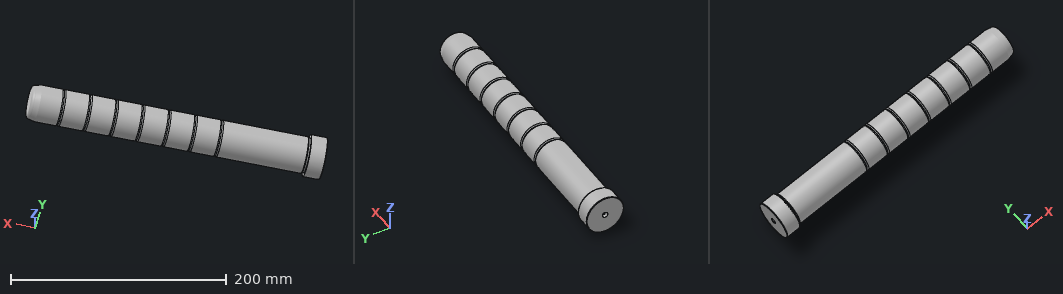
import cadquery as cq
import math

length = 280.0
head_length = 15.5
head_radius = 40.0 / 2
head_chamfer = 0.5
shaft_radius = 35.0 / 2

undercut_depth = 0.8
undercut_end = 18.0
undercut_floor_end = undercut_end - undercut_depth
undercut_radius = shaft_radius - undercut_depth

groove_count = 7
first_groove_x = 100.0
last_groove_x = 250.0
groove_pitch = (last_groove_x - first_groove_x) / (groove_count - 1)
groove_width = 2.8
groove_depth = 0.8

taper_start = 271.5
taper_end = 276.5
taper_end_radius = 16.2
tip_round = length - taper_end
end_face_radius = taper_end_radius - tip_round

countersink_radius = 2.8
countersink_angle = 60
pilot_radius = 1.5
pilot_end = 5.5
drill_point_angle = 120


def cone_depth(radius_change, full_angle):
    """Axial length over which a cone of this full angle changes its radius."""
    return radius_change / math.tan(math.radians(full_angle / 2))


def revolve_about_x(profile):
    return profile.close().revolve(360, (0, 0, 0), (1, 0, 0))


def pin():
    """Head, undercut, grooved shaft and rounded tip as one turned profile."""
    profile = (
        cq.Workplane("XY")
        .lineTo(0, head_radius - head_chamfer)
        .lineTo(head_chamfer, head_radius)
        .lineTo(head_length, head_radius)
        .lineTo(head_length, undercut_radius)
        .lineTo(undercut_floor_end, undercut_radius)
        .lineTo(undercut_end, shaft_radius)
    )
    for index in range(groove_count):
        groove_x = first_groove_x + index * groove_pitch
        profile = (
            profile.lineTo(groove_x - groove_width / 2, shaft_radius)
            .lineTo(groove_x, shaft_radius - groove_depth)
            .lineTo(groove_x + groove_width / 2, shaft_radius)
        )
    arc_offset = tip_round * math.sqrt(0.5)
    arc_middle = (taper_end + arc_offset, end_face_radius + arc_offset)
    profile = (
        profile.lineTo(taper_start, shaft_radius)
        .lineTo(taper_end, taper_end_radius)
        .threePointArc(arc_middle, (length, end_face_radius))
        .lineTo(length, 0)
    )
    return revolve_about_x(profile)


def centre_hole():
    """Countersink, pilot hole and drill point as one turned cutter."""
    countersink_end = cone_depth(countersink_radius - pilot_radius, countersink_angle)
    drill_point_end = pilot_end + cone_depth(pilot_radius, drill_point_angle)
    profile = (
        cq.Workplane("XY")
        .lineTo(0, countersink_radius)
        .lineTo(countersink_end, pilot_radius)
        .lineTo(pilot_end, pilot_radius)
        .lineTo(drill_point_end, 0)
    )
    return revolve_about_x(profile)


result = pin().cut(centre_hole())